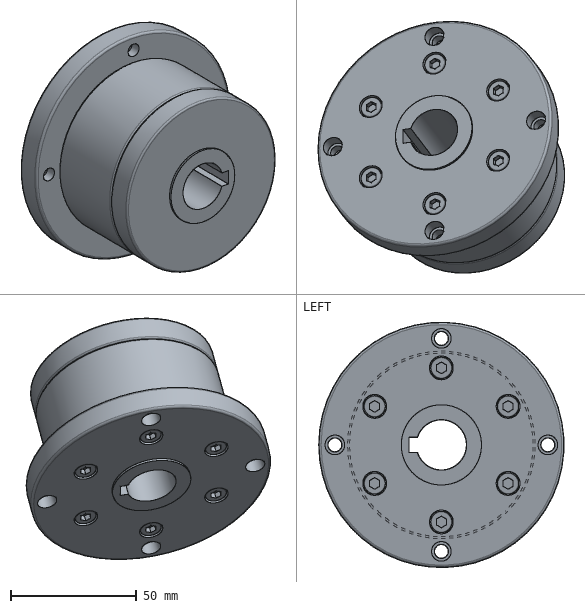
import cadquery as cq
import math

HUB_LENGTH = 57.0
HUB_DIAMETER = 32.0
HUB_PROTRUSION = 1.0

FLANGE_DIAMETER = 98.0
FLANGE_THICKNESS = 10.5
FLANGE_FILLET = 1.0

BODY_DIAMETER = 75.0
CAP_THICKNESS = 10.6
BODY_FILLET = 0.8

BORE_DIAMETER = 20.0
KEYWAY_WIDTH = 6.0
KEYWAY_REACH = 12.8

MOUNT_COUNT = 4
MOUNT_CIRCLE_RADIUS = 42.5
MOUNT_HOLE_DIAMETER = 5.5
MOUNT_COUNTERBORE_DIAMETER = 7.8
MOUNT_COUNTERBORE_DEPTH = 5.9

SCREW_COUNT = 6
SCREW_CIRCLE_RADIUS = 30.8
SCREW_POCKET_DIAMETER = 9.5
SCREW_HEAD_DIAMETER = 8.5
SCREW_HEAD_HEIGHT = 5.0
SCREW_HEAD_RECESS = 0.5
SCREW_HEAD_FILLET = 0.2
SOCKET_ACROSS_FLATS = 4.0
SOCKET_DEPTH = 2.45

flange_start = HUB_PROTRUSION
flange_end = flange_start + FLANGE_THICKNESS
cap_end = HUB_LENGTH - HUB_PROTRUSION
cap_start = cap_end - CAP_THICKNESS
screw_head_top = flange_start + SCREW_HEAD_RECESS


def plane_at(x):
    """Plane across the shaft axis: local x is +Y, local y is +Z, normal is +X."""
    return cq.Workplane("YZ", origin=(x, 0, 0))


def disc(start, end, diameter):
    return plane_at(start).circle(diameter / 2).extrude(end - start)


def rounded_disc(start, end, diameter, fillet):
    return disc(start, end, diameter).edges("%CIRCLE").fillet(fillet)


def circle_points(count, radius):
    """Evenly spaced (y, z) points, the first one straight up."""
    angles = [math.pi / 2 + 2 * math.pi * i / count for i in range(count)]
    return [(radius * math.cos(a), radius * math.sin(a)) for a in angles]


def bore_with_keyway():
    bore = disc(0, HUB_LENGTH, BORE_DIAMETER)
    keyway = (
        plane_at(0)
        .center(KEYWAY_REACH / 2, 0)
        .rect(KEYWAY_REACH, KEYWAY_WIDTH)
        .extrude(HUB_LENGTH)
    )
    return bore.union(keyway)


def mounting_holes():
    points = circle_points(MOUNT_COUNT, MOUNT_CIRCLE_RADIUS)
    face = plane_at(flange_start).pushPoints(points)
    holes = face.circle(MOUNT_HOLE_DIAMETER / 2).extrude(FLANGE_THICKNESS)
    counterbores = face.circle(MOUNT_COUNTERBORE_DIAMETER / 2).extrude(MOUNT_COUNTERBORE_DEPTH)
    return holes.union(counterbores)


def screw_pockets():
    points = circle_points(SCREW_COUNT, SCREW_CIRCLE_RADIUS)
    face = plane_at(flange_start).pushPoints(points)
    return face.circle(SCREW_POCKET_DIAMETER / 2).extrude(SCREW_HEAD_RECESS + SCREW_HEAD_HEIGHT)


def screw_heads():
    points = circle_points(SCREW_COUNT, SCREW_CIRCLE_RADIUS)
    head_top = plane_at(screw_head_top).pushPoints(points)
    heads = (
        head_top.circle(SCREW_HEAD_DIAMETER / 2)
        .extrude(SCREW_HEAD_HEIGHT)
        .faces("<X")
        .edges()
        .fillet(SCREW_HEAD_FILLET)
    )
    corner_radius = SOCKET_ACROSS_FLATS / math.sqrt(3)
    socket_corners = circle_points(6, corner_radius)
    for y, z in points:
        socket = (
            plane_at(screw_head_top)
            .center(y, z)
            .polyline(socket_corners)
            .close()
            .extrude(SOCKET_DEPTH)
        )
        heads = heads.cut(socket)
    return heads


flange = rounded_disc(flange_start, flange_end, FLANGE_DIAMETER, FLANGE_FILLET)
body = rounded_disc(flange_end, cap_start, BODY_DIAMETER, BODY_FILLET)
cap = rounded_disc(cap_start, cap_end, BODY_DIAMETER, BODY_FILLET)
hub = disc(0, HUB_LENGTH, HUB_DIAMETER)

result = flange.union(body).union(cap).union(hub)
result = result.cut(bore_with_keyway())
result = result.cut(mounting_holes())
result = result.cut(screw_pockets())
result = result.union(screw_heads())